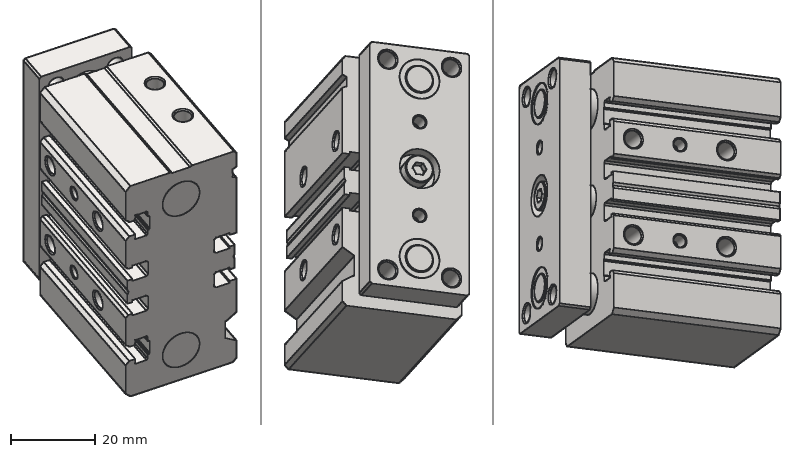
import cadquery as cq
import math


plate_thickness = 8.0
rod_gap = 5.0
housing_length = 43.0
housing_front = plate_thickness + rod_gap
housing_back = housing_front + housing_length

housing_width = 30.0
housing_height = 64.0
half_width = housing_width / 2
half_height = housing_height / 2
slotted_side_chamfer = 1.3
plain_side_top_chamfer = 0.75
plain_side_bottom_chamfer = 1.0

top_groove_half_width = 3.0
top_groove_floor_half_width = 2.4
top_groove_depth = 0.3

sensor_slot_inner_z = 3.5
sensor_slot_outer_z = 7.0
sensor_slot_undercut = 0.55
sensor_lip_thickness = 1.85
sensor_slot_depth = 6.1
sensor_slot_corner = 0.5
sensor_mouth_chamfer = 0.7

rib_setback = 0.5
rib_groove_half_width = 0.7
rib_groove_depth = 0.3

bolt_slot_z = 18.95
bolt_mouth_half_width = 2.15
bolt_mouth_chamfer = 1.0
bolt_lip_thickness = 2.6
bolt_cavity_half_width = 3.6
bolt_slot_depth = 6.0
bolt_cavity_corner = 0.35
bolt_floor_groove_half_width = 2.05
bolt_floor_groove_depth = 0.5
bolt_floor_groove_corner = 0.3

rail_groove_z = 25.45
rail_groove_half_width = 1.7
rail_groove_floor_half_width = 1.15
rail_groove_depth = 1.1
wedge_groove_z = -21.45
wedge_groove_half_width = 4.35
wedge_groove_depth = 3.0
wedge_groove_angle = 32.0

thread_core_diameter = 4.3
thread_mouth_diameter = 5.0
thread_chamfer = (thread_mouth_diameter - thread_core_diameter) / 2
drill_point_angle = 118.0

cross_hole_z = 12.0
cross_hole_inset = 5.0
cross_hole_spacing = 24.0
cross_hole_front_x = housing_front + cross_hole_inset
cross_hole_x = (cross_hole_front_x, cross_hole_front_x + cross_hole_spacing)
dowel_x = sum(cross_hole_x) / 2
dowel_diameter = 3.0
dowel_mouth_diameter = 3.5
dowel_depth = 5.0

front_port_x = 24.1
rear_port_x = 38.1
port_y = 10.1
port_depth = 6.0
port_passage_diameter = 1.6
port_passage_depth = 10.0

plate_width = 25.0
plate_height = 62.0
plate_chamfer = 0.5
plate_thread_y = 8.0
plate_thread_z = 27.0

guide_rod_z = 23.0
guide_rod_diameter = 10.0
piston_rod_diameter = 8.0
piston_rod_depth = 20.0
rod_tip_diameter = 7.0
rod_tip_chamfer = 0.25
guide_recess_depth = 0.25
piston_recess_diameter = 10.0
piston_recess_depth = 4.0
hex_socket_width = 3.0
hex_socket_depth = 2.0


def cylinder(point, direction, diameter, length):
    """A solid cylinder that starts at a point and runs along a direction."""
    solid = cq.Solid.makeCylinder(diameter / 2, length, cq.Vector(*point), cq.Vector(*direction))
    return cq.Workplane(obj=solid)


def cone(point, direction, start_diameter, end_diameter, length):
    """A solid cone or frustum that starts at a point and runs along a direction."""
    solid = cq.Solid.makeCone(
        start_diameter / 2, end_diameter / 2, length, cq.Vector(*point), cq.Vector(*direction)
    )
    return cq.Workplane(obj=solid)


def drill_point_length(start_diameter, end_diameter=0.0):
    """Length of a drill point cone between two diameters."""
    return (start_diameter - end_diameter) / 2 / math.tan(math.radians(drill_point_angle / 2))


def along(point, direction, distance):
    """The point moved by a distance along a direction."""
    return tuple(p + d * distance for p, d in zip(point, direction))


def chamfered_bore(point, direction, diameter, mouth_diameter, depth):
    """Cutter for a bore with a 45 degree chamfer at its mouth."""
    chamfer = (mouth_diameter - diameter) / 2
    bore = cylinder(point, direction, diameter, depth)
    return bore.union(cone(point, direction, mouth_diameter, diameter, chamfer))


def drilled_dowel_hole(point, direction):
    """Cutter for a blind dowel hole with a chamfered mouth and a drill point."""
    point_length = drill_point_length(dowel_diameter)
    hole = chamfered_bore(point, direction, dowel_diameter, dowel_mouth_diameter, dowel_depth)
    return hole.union(cone(along(point, direction, dowel_depth), direction, dowel_diameter, 0, point_length))


def extrude_section(points):
    """A Y-Z outline extruded over the length of the housing."""
    return cq.Workplane("YZ", origin=(housing_front, 0, 0)).polyline(points).close().extrude(housing_length)


def housing_blank():
    """Block with four chamfered long edges and the shallow groove along its top."""
    side, top = half_width, half_height
    slotted = slotted_side_chamfer
    plain_top = plain_side_top_chamfer
    plain_bottom = plain_side_bottom_chamfer
    return extrude_section([
        (-side, -top + slotted),
        (-side, top - slotted),
        (-side + slotted, top),
        (-top_groove_half_width, top),
        (-top_groove_floor_half_width, top - top_groove_depth),
        (top_groove_floor_half_width, top - top_groove_depth),
        (top_groove_half_width, top),
        (side - plain_top, top),
        (side, top - plain_top),
        (side, -top + plain_bottom),
        (side - plain_bottom, -top),
        (-side + slotted, -top),
    ])


def sensor_slot(side, level, mouth_chamfer):
    """Cutter for one sensor slot; side is the sign of Y and level the sign of Z."""
    face = half_width
    lip = half_width - sensor_lip_thickness
    floor = half_width - sensor_slot_depth
    near = sensor_slot_inner_z
    far = sensor_slot_outer_z
    wide_near = near - sensor_slot_undercut
    wide_far = far + sensor_slot_undercut
    points = [
        (face, near),
        (lip, near),
        (lip, wide_near),
        (floor + sensor_slot_corner, wide_near),
        (floor, wide_near + sensor_slot_corner),
        (floor, wide_far - sensor_slot_corner),
        (floor + sensor_slot_corner, wide_far),
        (lip, wide_far),
        (lip, far),
    ]
    if mouth_chamfer:
        points += [(face - mouth_chamfer, far), (face, far + mouth_chamfer)]
    else:
        points += [(face, far)]
    return extrude_section([(side * y, level * z) for y, z in points])


def rib_relief(side):
    """Cutter that sets the centre rib back and adds its V-groove."""
    rib_face = half_width - rib_setback
    return extrude_section([
        (side * half_width, -sensor_slot_inner_z),
        (side * rib_face, -sensor_slot_inner_z),
        (side * rib_face, -rib_groove_half_width),
        (side * (rib_face - rib_groove_depth), 0),
        (side * rib_face, rib_groove_half_width),
        (side * rib_face, sensor_slot_inner_z),
        (side * half_width, sensor_slot_inner_z),
    ])


def bolt_slot(z):
    """Cutter for one T-slot of the -Y side, with a shallow groove in its floor."""
    lip = -half_width + bolt_lip_thickness
    floor = -half_width + bolt_slot_depth
    groove_floor = floor + bolt_floor_groove_depth
    upper_half = [
        (-half_width, bolt_mouth_half_width + bolt_mouth_chamfer),
        (-half_width + bolt_mouth_chamfer, bolt_mouth_half_width),
        (lip, bolt_mouth_half_width),
        (lip, bolt_cavity_half_width),
        (floor - bolt_cavity_corner, bolt_cavity_half_width),
        (floor, bolt_cavity_half_width - bolt_cavity_corner),
        (floor, bolt_floor_groove_half_width),
        (groove_floor - bolt_floor_groove_corner, bolt_floor_groove_half_width),
        (groove_floor, bolt_floor_groove_half_width - bolt_floor_groove_corner),
    ]
    lower_half = [(y, -height) for y, height in reversed(upper_half)]
    return extrude_section([(y, z + height) for y, height in upper_half + lower_half])


def tapered_groove(z, mouth_half_width, floor_half_width, depth):
    """Cutter for a groove of the +Y side that narrows towards its floor."""
    floor = half_width - depth
    return extrude_section([
        (half_width, z - mouth_half_width),
        (floor, z - floor_half_width),
        (floor, z + floor_half_width),
        (half_width, z + mouth_half_width),
    ])


def cross_hole(x, z):
    """Cutter for a hole through the housing along Y, chamfered at both ends."""
    hole = chamfered_bore(
        (x, -half_width, z), (0, 1, 0), thread_core_diameter, thread_mouth_diameter, housing_width
    )
    far_chamfer = cone(
        (x, half_width, z), (0, -1, 0), thread_mouth_diameter, thread_core_diameter, thread_chamfer
    )
    return hole.union(far_chamfer)


def air_port(x):
    """Cutter for a threaded port with a drill point and a narrow passage below it."""
    mouth = (x, port_y, half_height)
    down = (0, 0, -1)
    point_length = drill_point_length(thread_core_diameter, port_passage_diameter)
    bore = chamfered_bore(mouth, down, thread_core_diameter, thread_mouth_diameter, port_depth)
    point = cone(
        along(mouth, down, port_depth), down, thread_core_diameter, port_passage_diameter, point_length
    )
    passage = cylinder(mouth, down, port_passage_diameter, port_passage_depth)
    return bore.union(point).union(passage)


def make_housing():
    body = housing_blank()
    for side, mouth_chamfer in ((-1, sensor_mouth_chamfer), (1, 0)):
        body = body.cut(rib_relief(side))
        for level in (-1, 1):
            body = body.cut(sensor_slot(side, level, mouth_chamfer))
    for level in (-1, 1):
        body = body.cut(bolt_slot(level * bolt_slot_z))
        for x in cross_hole_x:
            body = body.cut(cross_hole(x, level * cross_hole_z))
        body = body.cut(drilled_dowel_hole((dowel_x, -half_width, level * cross_hole_z), (0, 1, 0)))

    wedge_floor_half_width = wedge_groove_half_width - wedge_groove_depth * math.tan(
        math.radians(wedge_groove_angle)
    )
    body = body.cut(
        tapered_groove(rail_groove_z, rail_groove_half_width, rail_groove_floor_half_width, rail_groove_depth)
    )
    body = body.cut(
        tapered_groove(wedge_groove_z, wedge_groove_half_width, wedge_floor_half_width, wedge_groove_depth)
    )
    body = body.cut(air_port(front_port_x))
    body = body.cut(air_port(rear_port_x))
    body = body.cut(cone(
        (rear_port_x, port_y, half_height - port_passage_depth), (0, 0, -1),
        port_passage_diameter, 0, drill_point_length(port_passage_diameter),
    ))

    for level in (-1, 1):
        start = (housing_front, 0, level * guide_rod_z)
        body = body.cut(cylinder(start, (1, 0, 0), guide_rod_diameter, housing_length))
    return body.cut(cylinder((housing_front, 0, 0), (1, 0, 0), piston_rod_diameter, piston_rod_depth))


def make_plate():
    inward = (1, 0, 0)
    body = (
        cq.Workplane("YZ")
        .rect(plate_width, plate_height)
        .extrude(plate_thickness)
        .edges("|X")
        .chamfer(plate_chamfer)
    )
    for level in (-1, 1):
        for side in (-1, 1):
            body = body.cut(chamfered_bore(
                (0, side * plate_thread_y, level * plate_thread_z),
                inward, thread_core_diameter, thread_mouth_diameter, plate_thickness,
            ))
        body = body.cut(drilled_dowel_hole((0, 0, level * cross_hole_z), inward))
        guide_start = (0, 0, level * guide_rod_z)
        body = body.cut(cylinder(guide_start, inward, guide_rod_diameter, plate_thickness))

    body = body.cut(cylinder((0, 0, 0), inward, piston_recess_diameter, piston_recess_depth))
    return body.cut(cylinder((0, 0, 0), inward, rod_tip_diameter, plate_thickness))


def rod_tip(z, length):
    """Chamfered tip whose end is flush with the plate's outer face."""
    tip = cylinder((0, 0, z), (1, 0, 0), rod_tip_diameter, length)
    return tip.faces("<X").chamfer(rod_tip_chamfer)


def make_guide_rod(z):
    """Rod through the plate and the housing, with a narrower tip."""
    length = housing_back - guide_recess_depth
    shaft = cylinder((guide_recess_depth, 0, z), (1, 0, 0), guide_rod_diameter, length)
    return shaft.union(rod_tip(z, plate_thickness))


def make_piston_rod():
    """Rod behind the plate, with a tip through the plate and a hex socket in its end."""
    shaft_length = rod_gap + piston_rod_depth
    shaft = cylinder((plate_thickness, 0, 0), (1, 0, 0), piston_rod_diameter, shaft_length)
    hex_corner_diameter = hex_socket_width / math.cos(math.pi / 6)
    socket = cq.Workplane("YZ").polygon(6, hex_corner_diameter).extrude(hex_socket_depth)
    return shaft.union(rod_tip(0, plate_thickness)).cut(socket)


housing = make_housing()
plate = make_plate()
guide_rods = [make_guide_rod(level * guide_rod_z) for level in (-1, 1)]
piston_rod = make_piston_rod()

result = cq.Compound.makeCompound([
    housing.val(),
    plate.val(),
    *[rod.val() for rod in guide_rods],
    piston_rod.val(),
])